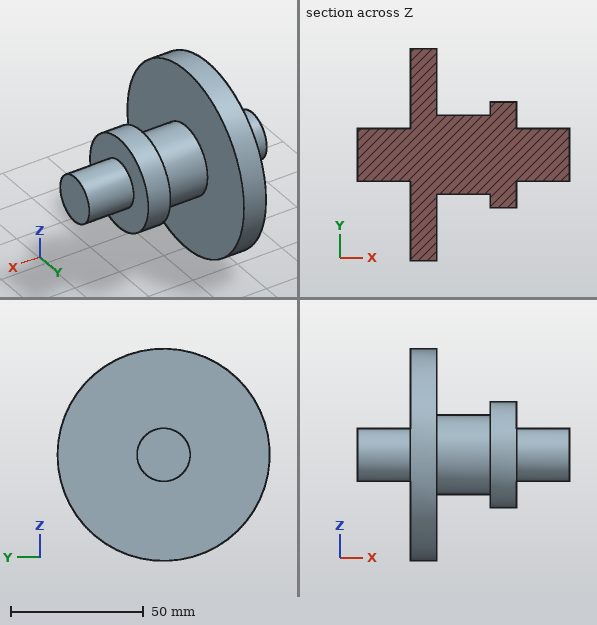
import cadquery as cq

journal_diameter = 20.0
journal_length = 20.0
flange_diameter = 80.0
flange_thickness = 10.0
hub_diameter = 30.0
hub_length = 20.0
collar_diameter = 40.0
collar_thickness = 10.0

sections = [
    (journal_diameter, journal_length),
    (flange_diameter, flange_thickness),
    (hub_diameter, hub_length),
    (collar_diameter, collar_thickness),
    (journal_diameter, journal_length),
]
total_length = sum(length for _, length in sections)


def half_profile(start_x):
    """Closed outline of the shaft from its axis out to the stepped surface."""
    x = start_x
    outline = cq.Workplane("XY").moveTo(x, 0)
    for diameter, length in sections:
        outline = outline.lineTo(x, diameter / 2)
        x += length
        outline = outline.lineTo(x, diameter / 2)
    return outline.lineTo(x, 0).close()


axis_start = (0, 0, 0)
axis_end = (1, 0, 0)
result = half_profile(-total_length / 2).revolve(360, axis_start, axis_end)